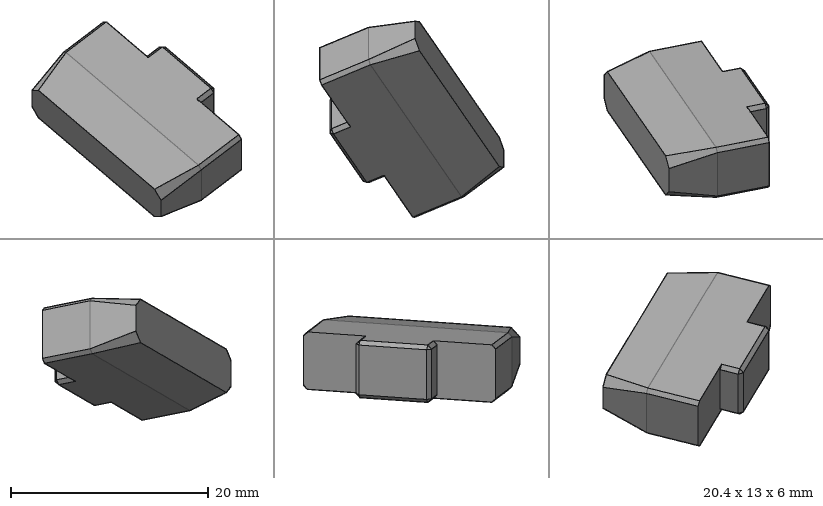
import cadquery as cq

width = 20.4
depth = 13.0
height = 6.0

nose_length = 5.0
tab_length = 2.37
body_length = depth - nose_length - tab_length
tab_width = 8.0

edge_chamfer = 0.4
nose_inset = 0.65
nose_corner = 0.95


def octagon(section_width, section_height, corner):
    """Points of a rectangle with its four corners cut at 45 degrees."""
    half_width = section_width / 2
    half_height = section_height / 2
    inner_x = half_width - corner
    inner_z = half_height - corner
    return [
        (-inner_x, -half_height),
        (inner_x, -half_height),
        (half_width, -inner_z),
        (half_width, inner_z),
        (inner_x, half_height),
        (-inner_x, half_height),
        (-half_width, inner_z),
        (-half_width, -inner_z),
    ]


front_width = width - 2 * nose_inset
front_height = height - 2 * nose_inset
nose = (
    cq.Workplane("XZ")
    .polyline(octagon(front_width, front_height, nose_corner)).close()
    .workplane(offset=-nose_length)
    .polyline(octagon(width, height, edge_chamfer)).close()
    .loft(ruled=True)
)

body = (
    cq.Workplane("XZ", origin=(0, nose_length, 0))
    .polyline(octagon(width, height, edge_chamfer)).close()
    .extrude(-body_length)
)

tab = (
    cq.Workplane("XY", origin=(0, nose_length + body_length, 0))
    .box(tab_width, tab_length, height, centered=(True, False, True))
    .edges("|Y or >Y")
    .chamfer(edge_chamfer)
)

result = nose.union(body).union(tab)